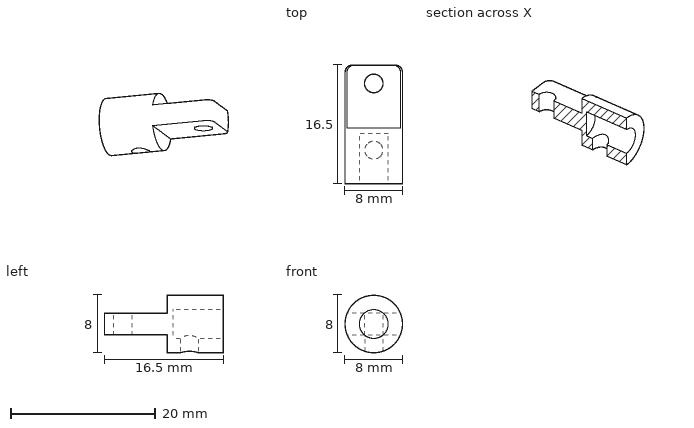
import cadquery as cq

body_diameter = 8.0
total_length = 16.5
end_fillet = 1.0

tab_length = 8.7
tab_thickness = 3.0
tab_hole_diameter = 2.55
tab_hole_edge_distance = 2.55

bore_diameter = 4.0
bore_depth = 7.0
screw_hole_diameter = 2.5
screw_hole_position = 4.7

shoulder_y = total_length - tab_length
tab_hole_y = total_length - tab_hole_edge_distance


def cylinder_along_y(diameter, length):
    """Cylinder on the Y axis, running from Y = 0 to Y = length."""
    return cq.Workplane("XZ").circle(diameter / 2).extrude(-length)


def make_bar():
    """Round bar with its tab end rounded over."""
    return cylinder_along_y(body_diameter, total_length).faces(">Y").edges().fillet(end_fillet)


def make_tab_cutter(side):
    """Block removed above (side = 1) or below (side = -1) the tab."""
    height = (body_diameter - tab_thickness) / 2
    center_z = side * (tab_thickness + height) / 2
    center_y = shoulder_y + tab_length / 2
    return cq.Workplane("XY").box(body_diameter, tab_length, height).translate((0, center_y, center_z))


def make_tab_hole():
    """Cross hole through the thickness of the tab."""
    return (
        cq.Workplane("XY")
        .center(0, tab_hole_y)
        .circle(tab_hole_diameter / 2)
        .extrude(tab_thickness / 2, both=True)
    )


def make_screw_hole():
    """Radial hole from the -Z side of the body to the bore axis."""
    return (
        cq.Workplane("XY")
        .center(0, screw_hole_position)
        .circle(screw_hole_diameter / 2)
        .extrude(-body_diameter / 2)
    )


result = make_bar()
for side in (1, -1):
    result = result.cut(make_tab_cutter(side))
result = result.cut(make_tab_hole())
result = result.cut(cylinder_along_y(bore_diameter, bore_depth))
result = result.cut(make_screw_hole())